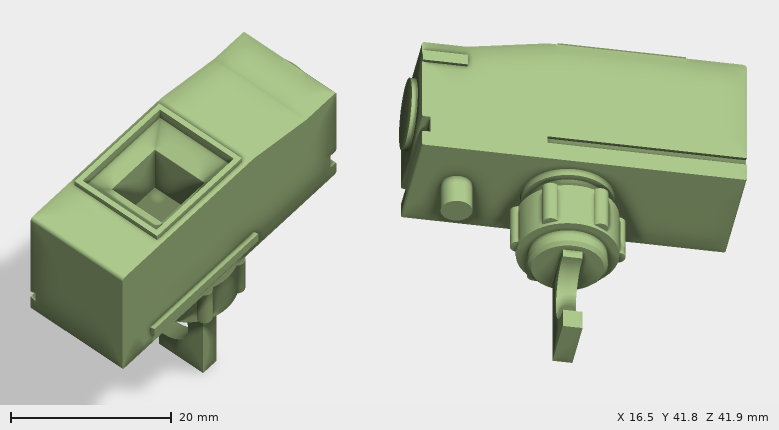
import cadquery as cq

TOTAL_HEIGHT = 41.9
TOTAL_DEPTH = 41.8
TOTAL_WIDTH = 16.5
SIDE_STEP = 0.75
OVERLAP = 0.2
COLLAR_HEIGHT = 0.8

BODY_WIDTH = TOTAL_WIDTH - 2 * SIDE_STEP
BODY_DEPTH = TOTAL_DEPTH - SIDE_STEP
BODY_TOP = TOTAL_HEIGHT - COLLAR_HEIGHT
BODY_BOTTOM = 23.05
BACK_TOP = 39.18
SLOPE_START = 25.2
SLOPE_END = 35.35
FRONT_TOP_FILLET = 0.5
EDGE_FILLET = 0.3
NOTCH_BOTTOM = 25.22
NOTCH_TOP = 27.53
NOTCH_DEPTH = 1.1

COLLAR_X, COLLAR_Y = 13.5, 16.25
COLLAR_WALL = 0.7
WELL_CENTER_Y = 15.65
WELL_X = COLLAR_X - 2 * COLLAR_WALL
WELL_Y = COLLAR_Y - 2 * COLLAR_WALL
SHAFT_X, SHAFT_Y = 8.13, 8.25
MOUTH_DEPTH = 1.6
FUNNEL_DEPTH = 1.68
SHAFT_DEPTH = 7.55

DISC_DIAMETER = 9.1
DISC_Z = 33.45

UPPER_RAIL_Z = 36.58
LOWER_RAIL_Z = 25.98
LOWER_RAIL_FRONT = 5.3
DOVETAIL_ROOT = 1.0
DOVETAIL_FACE = 1.5

PIN_DIAMETER = 4.0
PIN_Y = 35.35
PIN_BOTTOM = 19.1

STEM_Y = 21.33
FLANGE_DIAMETER = 11.8
FLANGE_BOTTOM = 22.1
STEM_DIAMETER = 10.0
STEM_BOTTOM = 12.03
STEM_CHAMFER = 0.45
NUT_DIAMETER = 12.9
NUT_TOP = 20.05
NUT_BOTTOM = 14.08
LOBE_COUNT = 6
LOBE_RADIUS = 1.05
LOBE_TIP_RADIUS = 7.3
LOBE_BOTTOM = 14.5

PLATE_WIDTH = 7.2
PLATE_THICKNESS = 2.5
HOOK_RADIUS = 4.2
HOOK_Z = 6.75
HOOK_WEB = 2.45


def make_housing():
    """Side profile in the YZ plane, extruded across the width."""
    notch_y = BODY_DEPTH - NOTCH_DEPTH
    profile = [
        (0, BODY_BOTTOM),
        (0, BODY_TOP),
        (SLOPE_START, BODY_TOP),
        (SLOPE_END, BACK_TOP),
        (BODY_DEPTH, BACK_TOP),
        (BODY_DEPTH, NOTCH_TOP),
        (notch_y, NOTCH_TOP),
        (notch_y, NOTCH_BOTTOM),
        (BODY_DEPTH, NOTCH_BOTTOM),
        (BODY_DEPTH, BODY_BOTTOM),
    ]
    body = cq.Workplane("YZ").polyline(profile).close().extrude(BODY_WIDTH / 2, both=True)
    body = body.edges("|X and >Y").fillet(EDGE_FILLET)
    body = body.edges("|X and <Y and <Z").fillet(EDGE_FILLET)
    return body.edges("|X and <Y and >Z").fillet(FRONT_TOP_FILLET)


def make_block(x_size, y_size, bottom, top, y_center):
    """Box centred on X = 0 between two heights."""
    return (
        cq.Workplane("XY", origin=(0, y_center, bottom))
        .rect(x_size, y_size)
        .extrude(top - bottom)
    )


def make_well():
    """Straight mouth, tapered funnel and straight shaft."""
    funnel_top = TOTAL_HEIGHT - MOUTH_DEPTH
    funnel_bottom = funnel_top - FUNNEL_DEPTH
    mouth = make_block(WELL_X, WELL_Y, funnel_top, TOTAL_HEIGHT, WELL_CENTER_Y)
    funnel = (
        cq.Workplane("XY", origin=(0, WELL_CENTER_Y, funnel_bottom))
        .rect(SHAFT_X, SHAFT_Y)
        .workplane(offset=FUNNEL_DEPTH)
        .rect(WELL_X, WELL_Y)
        .loft(ruled=True)
    )
    shaft = make_block(SHAFT_X, SHAFT_Y, funnel_bottom - SHAFT_DEPTH, funnel_bottom, WELL_CENTER_Y)
    return mouth.union(funnel).union(shaft)


def make_dovetail(root_x, direction, z_center, y_start, y_end):
    """Bar along Y that widens from its root in the given X direction."""
    tip_x = root_x + direction * SIDE_STEP
    section = [
        (root_x, z_center - DOVETAIL_ROOT / 2),
        (root_x, z_center + DOVETAIL_ROOT / 2),
        (tip_x, z_center + DOVETAIL_FACE / 2),
        (tip_x, z_center - DOVETAIL_FACE / 2),
    ]
    return (
        cq.Workplane("XZ", origin=(0, y_start, 0))
        .polyline(section)
        .close()
        .extrude(y_start - y_end)
    )


def make_cylinder(diameter, bottom, top, y_center):
    return (
        cq.Workplane("XY", origin=(0, y_center, bottom))
        .circle(diameter / 2)
        .extrude(top - bottom)
    )


def make_nut():
    """Round nut with grip lobes whose lower ends stop above its bottom."""
    nut = make_cylinder(NUT_DIAMETER, NUT_BOTTOM, NUT_TOP, STEM_Y)
    lobes = (
        cq.Workplane("XY", origin=(0, STEM_Y, LOBE_BOTTOM))
        .polarArray(LOBE_TIP_RADIUS - LOBE_RADIUS, 90, 360, LOBE_COUNT)
        .circle(LOBE_RADIUS)
        .extrude(NUT_TOP - LOBE_BOTTOM)
    )
    return nut.union(lobes)


def make_hook_plate():
    """Plate with a U-shaped opening towards -X."""
    plate = make_block(PLATE_WIDTH, PLATE_THICKNESS, 0, STEM_BOTTOM + OVERLAP, STEM_Y)
    hook_x = PLATE_WIDTH / 2 - HOOK_WEB - HOOK_RADIUS
    opening = (
        cq.Workplane("XZ", origin=(0, STEM_Y, 0))
        .moveTo(-PLATE_WIDTH / 2 - OVERLAP, HOOK_Z + HOOK_RADIUS)
        .lineTo(hook_x, HOOK_Z + HOOK_RADIUS)
        .threePointArc((hook_x + HOOK_RADIUS, HOOK_Z), (hook_x, HOOK_Z - HOOK_RADIUS))
        .lineTo(-PLATE_WIDTH / 2 - OVERLAP, HOOK_Z - HOOK_RADIUS)
        .close()
        .extrude(PLATE_THICKNESS, both=True)
    )
    return plate.cut(opening)


def make_stem():
    stem = make_cylinder(STEM_DIAMETER, STEM_BOTTOM, BODY_BOTTOM + OVERLAP, STEM_Y)
    stem = stem.faces("<Z").chamfer(STEM_CHAMFER)
    flange = make_cylinder(FLANGE_DIAMETER, FLANGE_BOTTOM, BODY_BOTTOM + OVERLAP, STEM_Y)
    return stem.union(flange).union(make_nut()).union(make_hook_plate())


collar = make_block(COLLAR_X, COLLAR_Y, BODY_TOP - OVERLAP, TOTAL_HEIGHT, WELL_CENTER_Y)
back_disc = (
    cq.Workplane("XZ", origin=(0, TOTAL_DEPTH, 0))
    .center(0, DISC_Z)
    .circle(DISC_DIAMETER / 2)
    .extrude(SIDE_STEP + OVERLAP)
)
pin = make_cylinder(PIN_DIAMETER, PIN_BOTTOM, BODY_BOTTOM + OVERLAP, PIN_Y)
left_side, right_side = -BODY_WIDTH / 2, BODY_WIDTH / 2
upper_rail = make_dovetail(left_side, -1, UPPER_RAIL_Z, SLOPE_END, BODY_DEPTH)
lower_rail = make_dovetail(right_side, 1, LOWER_RAIL_Z, LOWER_RAIL_FRONT, SLOPE_START)
lower_groove = make_dovetail(left_side, 1, LOWER_RAIL_Z, 0, SLOPE_START)

result = make_housing()
for feature in (collar, back_disc, pin, upper_rail, lower_rail, make_stem()):
    result = result.union(feature)
result = result.cut(make_well()).cut(lower_groove)